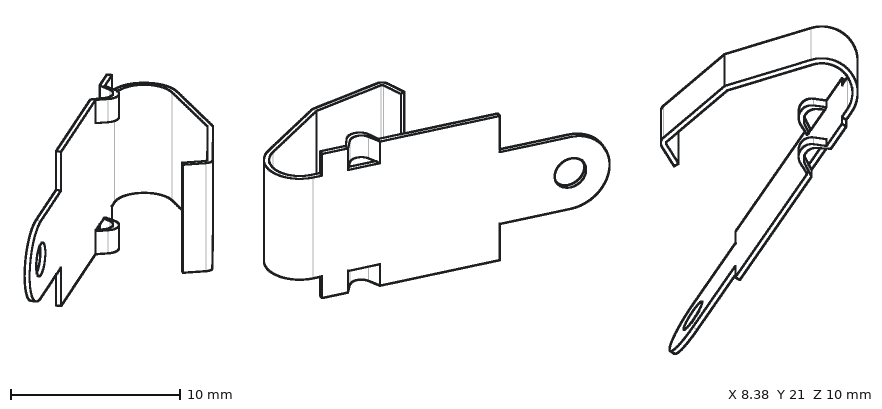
import cadquery as cq
import math

thickness = 0.32

tab_radius = 2.5
hole_diameter = 2.0
tab_straight = 4.5
body_length = 11.32
body_height = 10.02
neck_length = 0.57

arm_height = 7.01
bend_radius = 2.12
knee_x = 7.12
knee_y = 13.55
lower_leg_angle = -75
lower_leg_length = 5.19
lip_angle = -155
lip_length = 1.76
lip_inner_radius = 0.13

tongue_y = 13.15
tongue_half_mouth = 1.03
tongue_reach = 1.45
tongue_crown_thickness = 0.35
tongue_outer_radius = 0.78
tongue_inner_radius = 0.7

body_start = tab_straight
body_end = body_start + body_length
bend_y = body_end + neck_length
tongue_height = (body_height - arm_height) / 2


def step(point, angle, distance):
    """Point reached from another by moving along a direction in degrees."""
    direction = math.radians(angle)
    return (point[0] + distance * math.cos(direction), point[1] + distance * math.sin(direction))


def inner_corner(outer, angle_in, angle_out):
    """Inner mitre point of a clockwise bend, one sheet thickness inside its outer corner."""
    half_turn = math.radians(angle_in - angle_out) / 2
    inward = (angle_in + angle_out) / 2 - 90
    return step(outer, inward, thickness / math.cos(half_turn))


def make_plate():
    body = cq.Workplane("XY").box(thickness, body_length, body_height, centered=(False, False, True))
    body = body.translate((0, body_start, 0))
    tab = cq.Workplane("XY").box(thickness, body_start, 2 * tab_radius, centered=(False, False, True))
    tab_end = cq.Workplane("YZ").circle(tab_radius).extrude(thickness)
    hole = cq.Workplane("YZ").circle(hole_diameter / 2).extrude(thickness)
    return body.union(tab).union(tab_end).cut(hole)


def make_arm():
    center = (bend_radius, bend_y)
    inner_radius = bend_radius - thickness

    knee = (knee_x, knee_y)
    knee_dx = knee_x - center[0]
    knee_dy = knee_y - center[1]
    tangent_angle = math.degrees(
        math.atan2(knee_dy, knee_dx) + math.acos(bend_radius / math.hypot(knee_dx, knee_dy))
    )
    upper_leg_angle = tangent_angle - 90
    bend_middle_angle = (180 + tangent_angle) / 2

    lip_corner = step(knee, lower_leg_angle, lower_leg_length)
    lip_corner_inner = inner_corner(lip_corner, lower_leg_angle, lip_angle)
    lip_tip = step(lip_corner, lip_angle, lip_length)

    strip = (
        cq.Workplane("XY")
        .moveTo(0, body_end)
        .lineTo(0, bend_y)
        .threePointArc(step(center, bend_middle_angle, bend_radius), step(center, tangent_angle, bend_radius))
        .lineTo(*knee)
        .lineTo(*lip_corner)
        .lineTo(*lip_tip)
        .lineTo(*step(lip_tip, lip_angle - 90, thickness))
        .lineTo(*lip_corner_inner)
        .lineTo(*inner_corner(knee, upper_leg_angle, lower_leg_angle))
        .lineTo(*step(center, tangent_angle, inner_radius))
        .threePointArc(step(center, bend_middle_angle, inner_radius), (thickness, bend_y))
        .lineTo(thickness, body_end)
        .close()
        .extrude(arm_height / 2, both=True)
    )

    for corner, radius in (
        (lip_corner_inner, lip_inner_radius),
        (lip_corner, lip_inner_radius + thickness),
    ):
        strip = strip.edges(cq.NearestToPointSelector((*corner, 0))).fillet(radius)
    return strip


def tongue_profile(mouth_x, radius, crown_x):
    """Crown arc with tangent flanks, closed across its mouth and extruded over one tongue height."""
    center_x = crown_x - radius
    mouth_dx = mouth_x - center_x
    mouth_distance = math.hypot(mouth_dx, tongue_half_mouth)
    tangent_angle = math.atan2(tongue_half_mouth, mouth_dx) - math.acos(radius / mouth_distance)
    flank_end_x = center_x + radius * math.cos(tangent_angle)
    flank_end_y = radius * math.sin(tangent_angle)
    return (
        cq.Workplane("XY")
        .moveTo(mouth_x, tongue_y - tongue_half_mouth)
        .lineTo(flank_end_x, tongue_y - flank_end_y)
        .threePointArc((crown_x, tongue_y), (flank_end_x, tongue_y + flank_end_y))
        .lineTo(mouth_x, tongue_y + tongue_half_mouth)
        .close()
        .extrude(tongue_height)
    )


def add_tongues(part):
    outer = tongue_profile(thickness, tongue_outer_radius, tongue_reach)
    inner = tongue_profile(0, tongue_inner_radius, tongue_reach - tongue_crown_thickness)
    for base_z in (-body_height / 2, arm_height / 2):
        offset = (0, 0, base_z)
        part = part.union(outer.translate(offset)).cut(inner.translate(offset))
    return part


result = add_tongues(make_plate().union(make_arm()))